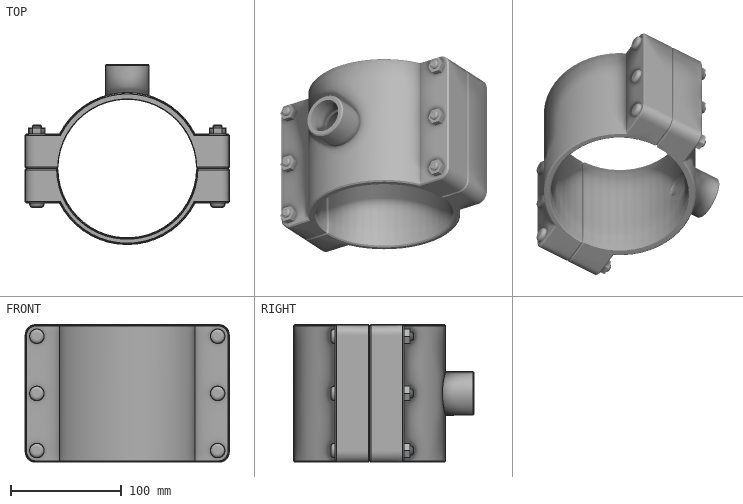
import cadquery as cq
import math

height = 124.0
bore_radius = 62.5
wall = 6.0
shell_radius = bore_radius + wall
overall_width = 184.0
ear_thickness = 31.0
ear_corner_radius = 9.5
edge_chamfer = 1.2

outlet_end = 94.0
outlet_diameter = 39.38
outlet_bore_diameter = 30.29
outlet_chamfer = 1.0
port_diameter = 25.0
outlet_shoulder = 73.0

bolt_inset = 10.5
bolt_x = overall_width / 2 - bolt_inset
bolt_z = height / 2 - bolt_inset
bolt_diameter = 8.0
bolt_end = 39.4
bolt_end_chamfer = 1.2
head_diameter = 13.0
head_height = 4.0
head_fillet = 3.0
nut_across_flats = 13.0
nut_height = 5.5

TOLERANCE = 0.01


def cylinder_z(radius):
    """Cylinder along Z over the full clamp height."""
    return cq.Workplane("XY").circle(radius).extrude(height / 2, both=True)


def cylinder_y(diameter, y_start, y_end):
    """Cylinder along +Y, centred on X = Z = 0."""
    return (
        cq.Workplane("XZ", origin=(0, y_start, 0))
        .circle(diameter / 2)
        .extrude(y_start - y_end)
    )


def hexagon_y(across_corners, y_start, y_end):
    """Hexagonal prism along +Y with two corners on the X axis."""
    return (
        cq.Workplane("XZ", origin=(0, y_start, 0))
        .polygon(6, across_corners)
        .extrude(y_start - y_end)
    )


def is_bore_rim(edge):
    """True for the end arcs of the clamp bore."""
    return edge.geomType() == "CIRCLE" and abs(edge.radius() - bore_radius) < TOLERANCE


def is_ear_root(edge):
    """True for the straight edges along Z where an ear meets the round shell."""
    middle = edge.Center()
    distance = math.hypot(middle.x, middle.y)
    is_along_z = abs(edge.tangentAt(0).z) > 1 - TOLERANCE
    return is_along_z and abs(distance - shell_radius) < TOLERANCE


def half_shell(chamfer_bore_rim):
    """Half shell with two ears on the +Y side of the parting plane."""
    ears = (
        cq.Workplane("XY")
        .box(overall_width, ear_thickness, height, centered=(True, False, True))
        .edges("|Y")
        .fillet(ear_corner_radius)
    )
    shell = cylinder_z(shell_radius)
    positive_y_block = cq.Workplane("XY").box(
        overall_width, overall_width, height, centered=(True, False, True)
    )
    half = ears.union(shell.intersect(positive_y_block)).cut(cylinder_z(bore_radius))

    sharp_edges = []
    for edge in half.edges("not |Y").vals():
        if is_ear_root(edge):
            continue
        if is_bore_rim(edge) and not chamfer_bore_rim:
            continue
        sharp_edges.append(edge)
    return half.newObject(sharp_edges).chamfer(edge_chamfer)


def add_outlet(half):
    """Add the round outlet with its port into the clamp bore."""
    outlet = cylinder_y(outlet_diameter, 0, outlet_end)
    outlet = outlet.faces(">Y").chamfer(outlet_chamfer)
    port = cylinder_y(port_diameter, 0, outlet_end)
    wide_bore = cylinder_y(outlet_bore_diameter, outlet_shoulder, outlet_end)
    return half.union(outlet.cut(cylinder_z(bore_radius))).cut(port).cut(wide_bore)


def bolt_with_nut():
    """Bolt along Y: button head under the -Y ear, nut on the +Y ear."""
    head_top = -ear_thickness - head_height
    shank = cylinder_y(bolt_diameter, -ear_thickness, bolt_end)
    shank = shank.faces(">Y").chamfer(bolt_end_chamfer)
    head = cylinder_y(head_diameter, head_top, -ear_thickness)
    head = head.faces("<Y").edges().fillet(head_fillet)
    nut_across_corners = nut_across_flats / math.cos(math.radians(30))
    nut = hexagon_y(nut_across_corners, ear_thickness, ear_thickness + nut_height)
    return shank.union(head).union(nut)


outlet_half = add_outlet(half_shell(chamfer_bore_rim=False))
plain_half = half_shell(chamfer_bore_rim=True).mirror("XZ")

result = outlet_half.union(plain_half)
bolt = bolt_with_nut()
for x in (-bolt_x, bolt_x):
    for z in (-bolt_z, 0, bolt_z):
        result = result.union(bolt.translate((x, 0, z)))